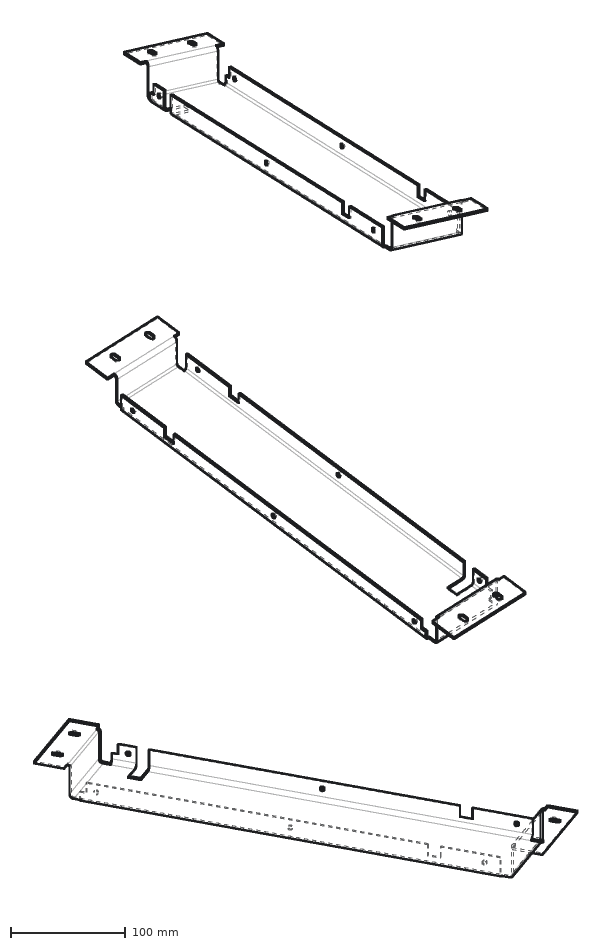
import cadquery as cq

length = 476.0
height = 34.5
sheet = 2.0
inner_radius = 2.0
outer_radius = inner_radius + sheet
half_length = length / 2

tray_width = 79.0
tray_center_y = -1.0
tray_front_y = tray_center_y - tray_width / 2
tray_back_y = tray_center_y + tray_width / 2
wall_half_length = half_length - 41.0
wall_height = 20.0

flange_width = 85.0
web_outside_x = half_length - 30.0
web_inside_x = web_outside_x - sheet
flange_inner_x = web_outside_x + inner_radius
web_width = tray_width - 2 * outer_radius

slot_length = 10.0
slot_width = 5.0
slot_spacing = 41.0
slot_center_x = half_length - 13.0

wall_hole_diameter = 4.22
wall_hole_pitch = 182.0
wall_hole_z = 12.0

step_length = 6.0
step_z = 10.0

notch_width = 12.0
notch_floor_z = 9.0
notch_center_x = half_length - 103.0

floor_slot_width = 12.0
floor_slot_depth = 21.0
floor_slot_center_x = 70.0 - half_length


def block(x_range, y_range, z_range):
    """Axis-aligned block between the given limits."""
    limits = (x_range, y_range, z_range)
    size = [high - low for low, high in limits]
    corner = tuple(low for low, high in limits)
    return cq.Workplane("XY").box(*size, centered=False).translate(corner)


def span(center, width):
    """Lower and upper limit of a width about its center."""
    return (center - width / 2, center + width / 2)


def make_tray():
    """Floor with a bent-up wall along each long side."""
    x_range = (-wall_half_length, wall_half_length)
    outside = block(x_range, (tray_front_y, tray_back_y), (0, wall_height))
    inside = block(x_range, (tray_front_y + sheet, tray_back_y - sheet), (sheet, wall_height))
    outside = outside.edges("|X and <Z").fillet(outer_radius)
    inside = inside.edges("|X and <Z").fillet(inner_radius)
    return outside.cut(inside)


def make_end_bracket():
    """Right-hand bracket: floor end, web and flange, with a bend at the foot and at the top."""
    overlap_start_x = wall_half_length - outer_radius
    profile = (
        cq.Workplane("XZ")
        .moveTo(overlap_start_x, 0)
        .lineTo(web_outside_x - outer_radius, 0)
        .radiusArc((web_outside_x, outer_radius), -outer_radius)
        .lineTo(web_outside_x, height - outer_radius)
        .radiusArc((flange_inner_x, height - sheet), inner_radius)
        .lineTo(flange_inner_x, height)
        .radiusArc((web_inside_x, height - outer_radius), -outer_radius)
        .lineTo(web_inside_x, outer_radius)
        .radiusArc((web_inside_x - inner_radius, sheet), inner_radius)
        .lineTo(overlap_start_x, sheet)
        .close()
    )
    web = profile.extrude(web_width / 2, both=True).translate((0, tray_center_y, 0))
    flange = block((flange_inner_x, half_length), span(0, flange_width), (height - sheet, height))
    return web.union(flange)


def make_mounting_slots():
    """Round-ended slots, two in each flange, long side along X."""
    centers = [
        (x, tray_center_y + side * slot_spacing / 2)
        for x in (-slot_center_x, slot_center_x)
        for side in (-1, 1)
    ]
    return cq.Workplane("XY").pushPoints(centers).slot2D(slot_length, slot_width).extrude(height)


def make_wall_holes():
    """Three evenly spaced holes running across both walls."""
    centers = [(index * wall_hole_pitch, wall_hole_z) for index in (-1, 0, 1)]
    holes = cq.Workplane("XZ").pushPoints(centers).circle(wall_hole_diameter / 2)
    return holes.extrude(tray_width, both=True)


def make_wall_cutouts():
    """Step at the left end and notch near the right end, across both walls."""
    y_range = (tray_front_y, tray_back_y)
    step = block((-wall_half_length, step_length - wall_half_length), y_range, (step_z, wall_height))
    notch = block(span(notch_center_x, notch_width), y_range, (notch_floor_z, wall_height))
    return step.union(notch)


def make_floor_slot():
    """Slot from the front edge into the floor, splitting the front wall."""
    y_range = (tray_front_y, tray_front_y + floor_slot_depth)
    return block(span(floor_slot_center_x, floor_slot_width), y_range, (0, wall_height))


tray = make_tray()
tray = tray.cut(make_wall_holes())
tray = tray.cut(make_wall_cutouts())
tray = tray.cut(make_floor_slot())

right_bracket = make_end_bracket()
left_bracket = right_bracket.mirror("YZ")

result = tray.union(right_bracket).union(left_bracket)
result = result.cut(make_mounting_slots())